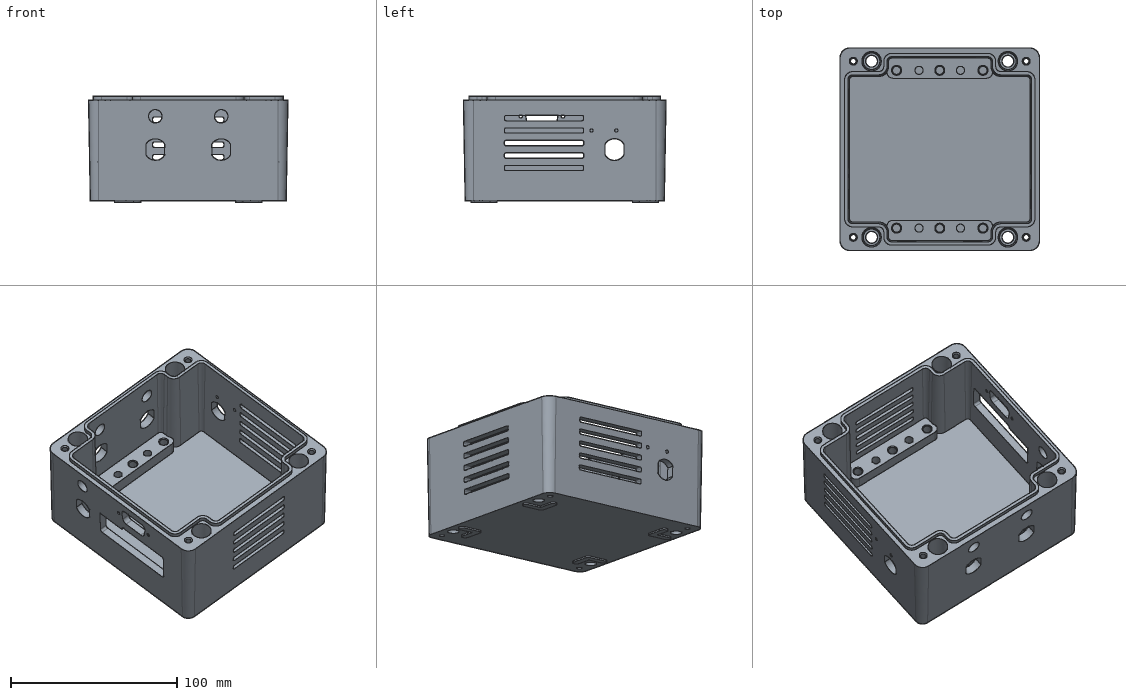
import cadquery as cq
import math

length_x = 120.0
length_y = 122.0
body_height = 60.6
lip_height = 2.5
foot_height = 1.0
corner_radius = 6.1
draft = 1.0

floor_thickness = 4.0
cavity_half_x = 55.3
cavity_half_y = 44.8
tab_half_x = 31.7
tab_half_y = 55.8
cavity_corner_radius = 3.0
tab_root_radius = 5.0
lip_thickness = 2.0
overall_height = body_height + lip_height

well_x = 41.0
well_y = 53.0
well_diameter = 11.7
well_floor_z = 10.0
mount_hole_diameter = 7.0
lid_hole_x = 52.0
lid_hole_y = well_y
lid_hole_diameter = 3.3
lid_hole_chamfer = 0.7
foot_arm_width = 4.4
foot_arm_length = 15.9
foot_corner_x = 28.5
foot_corner_y = 40.6

block_half_x = 31.7
block_inner_y = 42.7
block_height = 8.2
block_corner_radius = 3.5
block_hole_y = 47.5
block_hole_diameter = 4.9
block_hole_depth = 7.3
large_hole_offset = 26.0
small_hole_offset = 12.5
large_hole_chamfer = 0.55

wall_cut_depth = 17.1
port_z = 50.9
port_diameter = 8.0
socket_z = 30.9
socket_diameter = 12.9
socket_width = 11.2
front_port_spacing = 39.6
side_port_y = -29.9
pin_diameter = 2.0

slot_count = 5
slot_rows_height = 30.0
slot_pitch = slot_rows_height / (slot_count - 1)
slot_height = 3.2
slot_corner_radius = 1.0
left_slot_length = 47.6
left_slot_y = 12.5
left_slot_top_z = 49.8
back_slot_length = 42.7
back_slot_top_z = 48.8

left_pins_y = (-16.1, -31.0)
left_pins_z = 42.3

connector_y = 13.8
connector_width = 19.2
connector_height = 10.0
connector_flank_angle = 10.0
connector_radius = 2.8
connector_pin_spacing = 25.4

display_y_min = -15.0
display_y_max = 39.2
display_z_min = 22.5
display_z_max = 38.3
display_step_y = 3.7
display_step_height = 2.0
display_radius = 1.5


def four_corners(x, y):
    """Points at (x, y) mirrored into all four corners."""
    return [(sx * x, sy * y) for sx in (-1, 1) for sy in (-1, 1)]


def cavity_outline(z):
    """Cavity outline at the rim, with rounded corners, on the plane at height z."""
    outline = cq.Sketch().rect(2 * cavity_half_x, 2 * cavity_half_y)
    outline = outline.rect(2 * tab_half_x, 2 * tab_half_y).clean()
    outline = outline.reset().vertices(">X or <X or >Y or <Y").fillet(cavity_corner_radius)
    reach_x = (tab_half_x + cavity_half_x) / 2
    reach_y = (tab_half_y + cavity_half_y) / 2
    root_region = cq.selectors.BoxSelector((-reach_x, -reach_y, -1.2), (reach_x, reach_y, 1.2))
    outline = outline.reset().vertices(root_region).fillet(tab_root_radius)
    return cq.Workplane("XY", origin=(0, 0, z)).placeSketch(outline.reset())


def make_body():
    """Solid block that narrows toward the bottom."""
    outline = cq.Sketch().rect(length_x, length_y).vertices().fillet(corner_radius)
    top = cq.Workplane("XY", origin=(0, 0, body_height)).placeSketch(outline)
    return top.extrude(-body_height, taper=draft)


def make_lip():
    """Raised rim around the cavity outline, filled until the cavity is cut."""
    core = cavity_outline(body_height).extrude(lip_height)
    outline = core.faces("<Z").wires().toPending()
    return outline.offset2D(lip_thickness).extrude(lip_height)


def make_cavity():
    """Tapered hollow from the top of the lip down to the floor."""
    return cavity_outline(overall_height).extrude(floor_thickness - overall_height, taper=draft)


def make_foot():
    """L-shaped foot around the inner side of the well in the +X +Y corner."""
    near = foot_arm_width / 2
    middle = foot_arm_length / 2
    corner = cq.Workplane("XY", origin=(foot_corner_x, foot_corner_y, -foot_height))
    arm_x = corner.moveTo(middle, near).slot2D(foot_arm_length, foot_arm_width).extrude(foot_height)
    arm_y = corner.moveTo(near, middle).slot2D(foot_arm_length, foot_arm_width, 90).extrude(foot_height)
    return arm_x.union(arm_y)


def make_block():
    """Mounting block at the +Y end of the floor, reaching into the end wall."""
    depth = tab_half_y - block_inner_y
    block = cq.Workplane("XY", origin=(0, block_inner_y + depth / 2, floor_thickness))
    block = block.rect(2 * block_half_x, depth).extrude(block_height)
    block = block.edges("|Z and <Y").fillet(block_corner_radius)
    top_z = floor_thickness + block_height
    small_holes = [(-small_hole_offset, block_hole_y), (small_hole_offset, block_hole_y)]
    large_holes = [(step * large_hole_offset, block_hole_y) for step in (-1, 0, 1)]
    block = block.cut(hole_drills(small_holes, block_hole_diameter, top_z, block_hole_depth))
    return block.cut(
        hole_drills(large_holes, block_hole_diameter, top_z, block_hole_depth, large_hole_chamfer)
    )


def hole_drills(points, diameter, top_z, depth, chamfer=0):
    """Cutters for vertical holes, widened by a 45 degree chamfer at the top."""
    plane = cq.Workplane("XY", origin=(0, 0, top_z)).pushPoints(points)
    drills = plane.circle(diameter / 2).extrude(-depth)
    if chamfer:
        cones = plane.circle(diameter / 2 + chamfer).extrude(-chamfer, taper=45)
        drills = drills.union(cones)
    return drills


def make_wells():
    """Tapered screw wells in the corners, each with a mounting hole through its floor."""
    centers = four_corners(well_x, well_y)
    top = cq.Workplane("XY", origin=(0, 0, body_height)).pushPoints(centers)
    wells = top.circle(well_diameter / 2).extrude(well_floor_z - body_height, taper=draft)
    return wells.union(hole_drills(centers, mount_hole_diameter, body_height, body_height))


def wall_plane(wall, position, z):
    """Plane on the outside of a wall, facing into the box, at a place along the wall and a height."""
    if wall == "left":
        return cq.Workplane(cq.Plane((-length_x / 2, position, z), (0, 1, 0), (1, 0, 0)))
    if wall == "right":
        return cq.Workplane(cq.Plane((length_x / 2, position, z), (0, 1, 0), (-1, 0, 0)))
    if wall == "front":
        return cq.Workplane(cq.Plane((position, -length_y / 2, z), (1, 0, 0), (0, 1, 0)))
    return cq.Workplane(cq.Plane((position, length_y / 2, z), (1, 0, 0), (0, -1, 0)))


def round_cut(wall, position, z, diameter):
    """Round hole through one wall."""
    return wall_plane(wall, position, z).circle(diameter / 2).extrude(wall_cut_depth)


def window_cut(wall, position, z, width, height, radius):
    """Rectangular window with rounded corners through one wall."""
    window = wall_plane(wall, position, z).sketch().rect(width, height).vertices().fillet(radius).finalize()
    return window.extrude(wall_cut_depth)


def socket_cut(wall, position):
    """Round opening with a flat on each side."""
    flats = wall_plane(wall, position, socket_z).rect(socket_width, socket_diameter).extrude(wall_cut_depth)
    return round_cut(wall, position, socket_z, socket_diameter).intersect(flats)


def slot_cuts(wall, position, top_z, length):
    """Column of equal ventilation slots, from the top one down."""
    return [
        window_cut(wall, position, top_z - row * slot_pitch, length, slot_height, slot_corner_radius)
        for row in range(slot_count)
    ]


def connector_cuts():
    """D-shaped connector window with a screw hole on each side."""
    half_height = connector_height / 2
    flare = half_height * math.tan(math.radians(connector_flank_angle))
    top_half = connector_width / 2 + flare
    bottom_half = connector_width / 2 - flare
    outline = [
        (-bottom_half, -half_height),
        (bottom_half, -half_height),
        (top_half, half_height),
        (-top_half, half_height),
    ]
    plane = cq.Workplane("YZ", origin=(length_x / 2, connector_y, port_z))
    window = plane.polyline(outline).close().extrude(-wall_cut_depth).edges("|X").fillet(connector_radius)
    pins = [
        round_cut("right", connector_y + side * connector_pin_spacing / 2, port_z, pin_diameter)
        for side in (-1, 1)
    ]
    return [window] + pins


def display_cut():
    """Wide window whose upper edge is raised on the +Y part."""
    plane = cq.Workplane("YZ", origin=(length_x / 2, 0, 0))
    raised_z = display_z_max + display_step_height
    outline = [
        (display_y_min, display_z_min),
        (display_y_max, display_z_min),
        (display_y_max, raised_z),
        (display_step_y, raised_z),
        (display_step_y, display_z_max),
        (display_y_min, display_z_max),
    ]
    window = plane.polyline(outline).close().extrude(-wall_cut_depth)
    return window.edges("|X").edges("<Z or >Z").fillet(display_radius)


def wall_openings():
    """Cutters for every opening in the four side walls."""
    cuts = slot_cuts("left", left_slot_y, left_slot_top_z, left_slot_length)
    cuts += slot_cuts("back", 0, back_slot_top_z, back_slot_length)
    for x in (-front_port_spacing / 2, front_port_spacing / 2):
        cuts.append(round_cut("front", x, port_z, port_diameter))
        cuts.append(socket_cut("front", x))
    cuts += [socket_cut(wall, side_port_y) for wall in ("left", "right")]
    cuts += [round_cut("left", y, left_pins_z, pin_diameter) for y in left_pins_y]
    cuts.append(round_cut("right", side_port_y, port_z, port_diameter))
    cuts += connector_cuts()
    cuts.append(display_cut())
    return cuts


lid_hole_centers = four_corners(lid_hole_x, lid_hole_y)
block = make_block()
foot = make_foot()

result = make_body().union(make_lip()).cut(make_cavity())
result = result.union(block).union(block.mirror("XZ"))
for turned_foot in (foot, foot.mirror("YZ"), foot.mirror("XZ"), foot.mirror("YZ").mirror("XZ")):
    result = result.union(turned_foot)
result = result.cut(make_wells())
result = result.cut(
    hole_drills(lid_hole_centers, lid_hole_diameter, body_height, body_height, lid_hole_chamfer)
)
for opening in wall_openings():
    result = result.cut(opening)